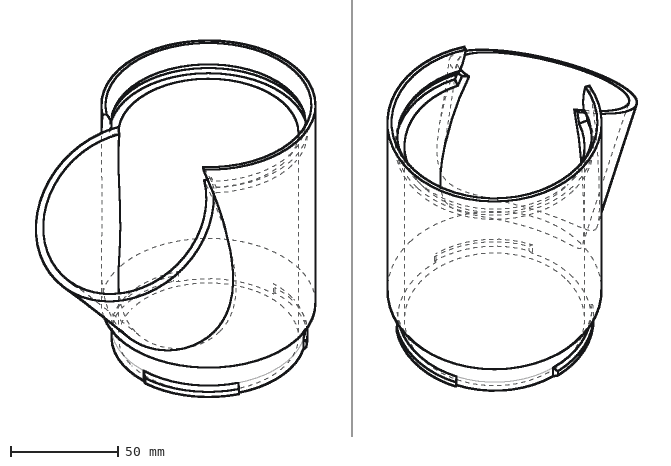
import cadquery as cq
import math

tube_radius = 100.0 / 2
bore_radius = 84.0 / 2
tube_height = 135.8
overall_depth = 145.1

spigot_radius = 45.3
spigot_band_height = 6.0
neck_height = 20.0

tab_count = 3
tab_radius = 46.3
tab_straight_height = 3.0
tab_angle = 60
first_tab_start = 30
tab_ramp_angle = 2.6

socket_mouth_radius = 48.0
socket_depth = 16.4
socket_floor = tube_height - socket_depth
groove_straight_top = socket_floor + tab_straight_height
groove_top = socket_floor + spigot_band_height

branch_tilt = 35
branch_taper = 4.5
branch_wall = 3.8
mouth_radius = 45
mouth_tip_y = tube_radius - overall_depth
mouth_tip_z = 79.7
branch_length = 87
clearance_length = 36.3


def revolve_profile(profile, angle=360):
    return profile.close().revolve(angle, (0, 0, 0), (0, 1, 0))


def vertical_tangent_arc_middle(radius, z, end_radius, end_z):
    """Middle of the arc that leaves (radius, z) upright and ends at the second point."""
    rise = end_z - z
    run = end_radius - radius
    arc_radius = (rise**2 + run**2) / (2 * run)
    half_sweep = math.asin(rise / arc_radius) / 2
    return (radius + arc_radius * (1 - math.cos(half_sweep)), z + arc_radius * math.sin(half_sweep))


def make_tube():
    neck_middle = vertical_tangent_arc_middle(spigot_radius, spigot_band_height, tube_radius, neck_height)
    profile = (
        cq.Workplane("XZ")
        .lineTo(spigot_radius, 0)
        .lineTo(spigot_radius, spigot_band_height)
        .threePointArc(neck_middle, (tube_radius, neck_height))
        .lineTo(tube_radius, tube_height)
        .lineTo(0, tube_height)
    )
    return revolve_profile(profile)


def make_socket():
    wall_middle = vertical_tangent_arc_middle(spigot_radius, groove_top, socket_mouth_radius, tube_height)
    profile = (
        cq.Workplane("XZ")
        .moveTo(0, socket_floor)
        .lineTo(tab_radius, socket_floor)
        .lineTo(tab_radius, groove_straight_top)
        .lineTo(spigot_radius, groove_top)
        .threePointArc(wall_middle, (socket_mouth_radius, tube_height))
        .lineTo(0, tube_height)
    )
    return revolve_profile(profile)


def polar_point(radius, degrees):
    angle = math.radians(degrees)
    return (radius * math.cos(angle), radius * math.sin(angle))


def make_tab():
    """Tab starting on the +X axis and running counterclockwise, with a ramped first end."""
    profile = (
        cq.Workplane("XZ")
        .moveTo(bore_radius, 0)
        .lineTo(tab_radius, 0)
        .lineTo(tab_radius, tab_straight_height)
        .lineTo(spigot_radius, spigot_band_height)
        .lineTo(bore_radius, spigot_band_height)
    )
    tab = revolve_profile(profile, tab_angle)
    ramp_cut = (
        cq.Workplane("XY")
        .polyline([
            (spigot_radius, 0),
            polar_point(tab_radius, tab_ramp_angle),
            (tube_radius, tab_radius * math.sin(math.radians(tab_ramp_angle))),
            (tube_radius, 0),
        ])
        .close()
        .extrude(spigot_band_height)
    )
    return tab.cut(ramp_cut)


def make_branch_cone(radius_at_mouth, start, end):
    """Solid cone about the branch axis between two distances from the mouth, outward positive."""
    slope = math.tan(math.radians(branch_taper))
    profile = (
        cq.Workplane("XZ")
        .moveTo(0, start)
        .lineTo(radius_at_mouth + start * slope, start)
        .lineTo(radius_at_mouth + end * slope, end)
        .lineTo(0, end)
    )
    tilt = math.radians(branch_tilt)
    mouth_center = (
        0,
        mouth_tip_y + mouth_radius * math.cos(tilt),
        mouth_tip_z + mouth_radius * math.sin(tilt),
    )
    cone = revolve_profile(profile).rotate((0, 0, 0), (1, 0, 0), branch_tilt).translate(mouth_center)
    front_half = (
        cq.Workplane("XY")
        .box(2 * overall_depth, overall_depth, 3 * overall_depth)
        .translate((0, -overall_depth / 2, 0))
    )
    return cone.intersect(front_half)


bore = cq.Workplane("XY").circle(bore_radius).extrude(tube_height)
branch_outside = make_branch_cone(mouth_radius, -branch_length, 0)
branch_inside = make_branch_cone(mouth_radius - branch_wall, -branch_length, 0)
mouth_clearance = make_branch_cone(mouth_radius, 0, clearance_length)

result = make_tube().cut(make_socket())
for index in range(tab_count):
    tab_start = first_tab_start + index * 360 / tab_count
    result = result.union(make_tab().rotate((0, 0, 0), (0, 0, 1), tab_start))
result = result.union(branch_outside).cut(bore).cut(branch_inside).cut(mouth_clearance)